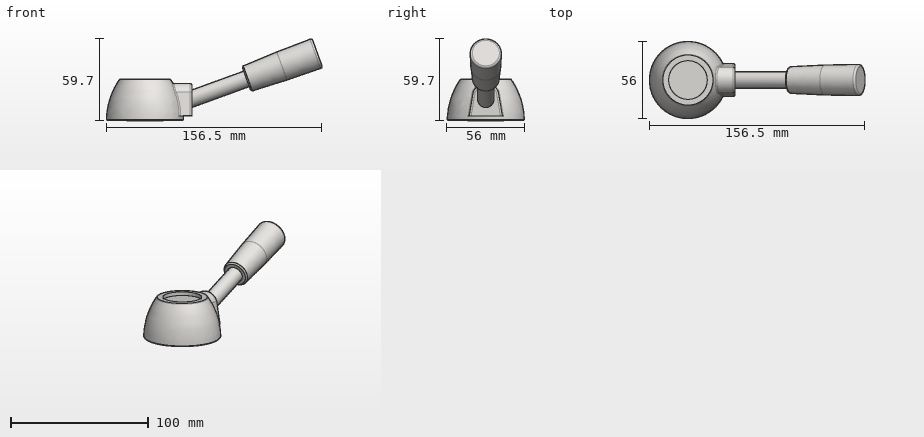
import cadquery as cq

pad_diameter = 26.0
pad_height = 0.5
hub_radius = 28.0
hub_height = 30.5
base_chamfer = 0.8
dome_mid_radius = 24.5
dome_mid_height = 18.8
top_radius = 18.6
top_chamfer = 0.5
recess_diameter = 28.0
recess_depth = 2.7

boss_end = 34.1
boss_bottom = 3.8
boss_top = 27.4
boss_half_width = 12.0
shoulder_half_width = 9.0
shoulder_height = 21.3
boss_edge_fillet = 1.4
boss_root_fillet = 1.3

lever_angle = 20
lever_exit_height = 16.3
rod_diameter = 12.0
rod_embed = 9.4
grip_start = 42.0
grip_length = 54.8
grip_start_radius = 9.7
grip_mid_radius = 11.0
grip_end_radius = 11.4
grip_start_chamfer = 1.1
grip_end_fillet = 1.5


def make_hub():
    dome = (
        cq.Workplane("XZ")
        .moveTo(0, pad_height)
        .lineTo(hub_radius - base_chamfer, pad_height)
        .lineTo(hub_radius, pad_height + base_chamfer)
        .threePointArc((dome_mid_radius, dome_mid_height), (top_radius, hub_height - top_chamfer))
        .lineTo(top_radius - top_chamfer, hub_height)
        .lineTo(0, hub_height)
        .close()
        .revolve(360, (0, 0), (0, 1))
    )
    pad = cq.Workplane("XY").circle(pad_diameter / 2).extrude(pad_height)
    return dome.union(pad)


def make_boss():
    return (
        cq.Workplane("YZ")
        .moveTo(-boss_half_width, boss_bottom)
        .lineTo(-shoulder_half_width, shoulder_height)
        .threePointArc((0, boss_top), (shoulder_half_width, shoulder_height))
        .lineTo(boss_half_width, boss_bottom)
        .close()
        .extrude(boss_end)
        .faces(">X")
        .edges("not <Z")
        .fillet(boss_edge_fillet)
    )


def make_lever():
    rod = (
        cq.Workplane("YZ", origin=(-rod_embed, 0, 0))
        .circle(rod_diameter / 2)
        .extrude(rod_embed + grip_start)
    )
    grip_end = grip_start + grip_length
    grip = (
        cq.Workplane("XY")
        .moveTo(grip_start, 0)
        .lineTo(grip_start, grip_start_radius)
        .lineTo(grip_start + grip_length / 2, grip_mid_radius)
        .lineTo(grip_end, grip_end_radius)
        .lineTo(grip_end, 0)
        .close()
        .revolve(360, (0, 0), (1, 0))
    )
    grip = grip.faces("<X").edges().chamfer(grip_start_chamfer)
    grip = grip.faces(">X").edges().fillet(grip_end_fillet)
    lever = rod.union(grip)
    return lever.rotate((0, 0, 0), (0, 1, 0), -lever_angle).translate((boss_end, 0, lever_exit_height))


def make_body():
    body = make_hub().union(make_boss())
    seam_zone = cq.selectors.BoxSelector(
        (top_radius, -boss_half_width, boss_bottom + boss_root_fillet),
        (hub_radius, boss_half_width, boss_top + boss_root_fillet),
    )
    return body.edges(seam_zone).edges("not |X").fillet(boss_root_fillet)


def make_recess():
    return (
        cq.Workplane("XY", origin=(0, 0, hub_height - recess_depth))
        .circle(recess_diameter / 2)
        .extrude(recess_depth)
    )


result = make_body().union(make_lever()).cut(make_recess())